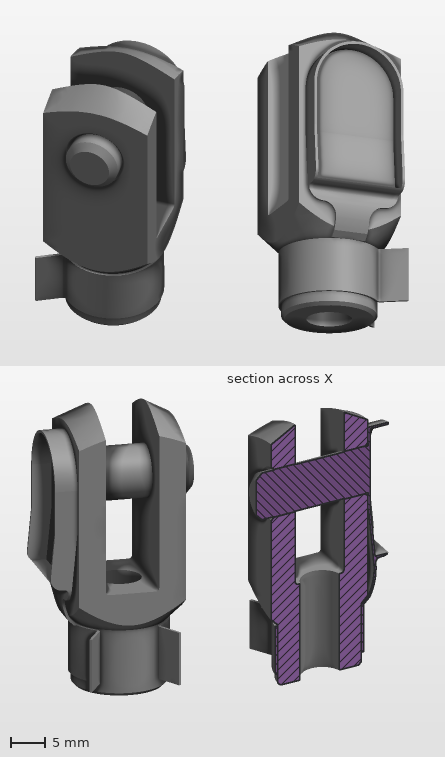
import cadquery as cq
import math

FORK_WIDTH = 16.0
FORK_HALF = FORK_WIDTH / 2
SLOT_WIDTH = 8.0
SLOT_FLOOR_Z = 16.0
SLOT_CORNER_RADIUS = 0.5
CROWN_Z = 42.54
CROWN_SLOPE = 30.0
NECK_RADIUS = 7.0
NECK_CHAMFER = 0.5
SHOULDER_Z = 10.1
THREAD_CORE_DIAMETER = 6.65
PIN_DIAMETER = 8.0
PIN_Z = 32.0
PIN_HOLE_CHAMFER = 0.5

SHEET = 0.4
PIN_TIP_Y = -10.51
PIN_TIP_CHAMFER = 1.0
LEVER_RADIUS = 7.0
LEVER_DEPTH = 3.35
LEVER_BEND_Z = 25.5
LEVER_TILT = 5.5
LEVER_LOW_Z = 16.95
LEVER_CORNER_RADIUS = 1.7
STRIP_ROOT_FILLET = 0.7
STRIP_ARC_TOP_Z = 16.2
STRIP_HALF_WIDTH = 2.6
RING_LOW_Z = 2.0
RING_HIGH_Z = 10.0
RING_OUTER_RADIUS = NECK_RADIUS + SHEET
RING_END_ANGLE = 138.0
TAB_BEND_RADIUS = 0.5
TAB_ANGLE = 30.0
TAB_REACH = 9.78


def turned_envelope():
    """Revolved blank: neck, 45 degree shoulder and conical crown."""
    blank_radius = FORK_WIDTH
    slope = math.tan(math.radians(CROWN_SLOPE))
    apex_z = CROWN_Z + SLOT_WIDTH / 2 * slope
    return (
        cq.Workplane("XZ")
        .moveTo(0, 0)
        .lineTo(NECK_RADIUS - NECK_CHAMFER, 0)
        .lineTo(NECK_RADIUS, NECK_CHAMFER)
        .lineTo(NECK_RADIUS, SHOULDER_Z)
        .lineTo(blank_radius, SHOULDER_Z + blank_radius - NECK_RADIUS)
        .lineTo(blank_radius, apex_z - blank_radius * slope)
        .lineTo(0, apex_z)
        .close()
        .revolve(360, (0, 0, 0), (0, 1, 0))
    )


def fork_slot():
    """Slot between the prongs, open at the top, with rounded floor corners."""
    slot_height = CROWN_Z - SLOT_FLOOR_Z
    return (
        cq.Workplane("XY")
        .box(FORK_WIDTH, SLOT_WIDTH, slot_height, centered=(True, True, False))
        .edges("|X and <Z")
        .fillet(SLOT_CORNER_RADIUS)
        .translate((0, 0, SLOT_FLOOR_Z))
    )


def pin_hole():
    """Cross hole along Y, countersunk on both outer faces."""
    radius = PIN_DIAMETER / 2
    mouth_radius = radius + PIN_HOLE_CHAMFER
    chamfer_start = FORK_HALF - PIN_HOLE_CHAMFER
    return (
        cq.Workplane("XY")
        .moveTo(0, -FORK_HALF)
        .lineTo(mouth_radius, -FORK_HALF)
        .lineTo(radius, -chamfer_start)
        .lineTo(radius, chamfer_start)
        .lineTo(mouth_radius, FORK_HALF)
        .lineTo(0, FORK_HALF)
        .close()
        .revolve(360, (0, 0, 0), (0, 1, 0))
        .translate((0, 0, PIN_Z))
    )


def make_fork():
    bar = cq.Workplane("XY").box(FORK_WIDTH, FORK_WIDTH, CROWN_Z, centered=(True, True, False))
    thread_core = cq.Workplane("XY").circle(THREAD_CORE_DIAMETER / 2).extrude(SLOT_FLOOR_Z)
    return bar.intersect(turned_envelope()).cut(fork_slot()).cut(pin_hole()).cut(thread_core)


TILT_SLOPE = math.tan(math.radians(LEVER_TILT))


def lever_face_y(z):
    """Y of the lever face nearest the fork, at a height below the bend."""
    return FORK_HALF + (LEVER_BEND_Z - z) * TILT_SLOPE


def across(profile):
    """Extrude a YZ profile to both sides, over the whole lever width."""
    return profile.extrude(LEVER_RADIUS, both=True)


def lever_outline(radius, low_z):
    """Round-topped outline in XZ, extruded along +Y through the lever."""
    lever_length = 2 * LEVER_DEPTH
    return (
        cq.Workplane("XZ", origin=(0, FORK_HALF, 0))
        .moveTo(-radius, low_z)
        .lineTo(radius, low_z)
        .lineTo(radius, PIN_Z)
        .threePointArc((0, PIN_Z + radius), (-radius, PIN_Z))
        .close()
        .extrude(-lever_length)
    )


def lever_side(front_shift, depth):
    """Side profile of the lever: upright at the top, tilted below the bend."""
    top_z = PIN_Z + LEVER_RADIUS
    front_y = FORK_HALF + front_shift
    low_front_y = lever_face_y(LEVER_LOW_Z) + front_shift
    return across(
        cq.Workplane("YZ")
        .moveTo(front_y, top_z)
        .lineTo(front_y, LEVER_BEND_Z)
        .lineTo(low_front_y, LEVER_LOW_Z)
        .lineTo(low_front_y + depth, LEVER_LOW_Z)
        .lineTo(front_y + depth, LEVER_BEND_Z)
        .lineTo(front_y + depth, top_z)
        .close()
    )


def make_lever():
    """Shallow tray with its open side away from the fork."""
    solid_side = lever_side(0, LEVER_DEPTH).edges("|X and <Z and >Y").fillet(LEVER_CORNER_RADIUS)
    tray = solid_side.intersect(lever_outline(LEVER_RADIUS, LEVER_LOW_Z))
    pocket = lever_side(SHEET, LEVER_DEPTH).intersect(
        lever_outline(LEVER_RADIUS - SHEET, LEVER_LOW_Z + SHEET)
    )
    return tray.cut(pocket)


def make_pin():
    """Pin through both prongs, joined to the lever at the fork face."""
    return (
        cq.Workplane("XZ", origin=(0, FORK_HALF, PIN_Z))
        .circle(PIN_DIAMETER / 2)
        .extrude(FORK_HALF - PIN_TIP_Y)
        .faces("<Y")
        .chamfer(PIN_TIP_CHAMFER)
    )


def tangent_arc_radius(start, end):
    """Radius of the arc between two YZ points that leaves the first along the lever tilt."""
    step_y = end[0] - start[0]
    step_z = end[1] - start[1]
    tilt = math.radians(LEVER_TILT)
    offset = step_y * math.cos(tilt) + step_z * math.sin(tilt)
    return (step_y ** 2 + step_z ** 2) / (2 * abs(offset))


def strip_side():
    """Side profile of the strip that curves from the lever over the shoulder to the ring."""
    root_y = lever_face_y(LEVER_LOW_Z)
    fillet_low_z = LEVER_LOW_Z - STRIP_ROOT_FILLET
    fillet_low = (lever_face_y(fillet_low_z) + SHEET, fillet_low_z)
    fillet_high = (fillet_low[0] + STRIP_ROOT_FILLET, LEVER_LOW_Z)
    inner_top = (lever_face_y(STRIP_ARC_TOP_Z), STRIP_ARC_TOP_Z)
    outer_top = (inner_top[0] + SHEET, STRIP_ARC_TOP_Z)
    inner_low = (FORK_HALF, SHOULDER_Z + FORK_HALF - NECK_RADIUS)
    sheet_step = SHEET / math.sqrt(2)
    outer_low = (inner_low[0] + sheet_step, inner_low[1] - sheet_step)
    return across(
        cq.Workplane("YZ")
        .moveTo(root_y, LEVER_LOW_Z)
        .lineTo(*inner_top)
        .radiusArc(inner_low, tangent_arc_radius(inner_top, inner_low))
        .lineTo(NECK_RADIUS, SHOULDER_Z)
        .lineTo(NECK_RADIUS, RING_HIGH_Z)
        .lineTo(RING_OUTER_RADIUS, RING_HIGH_Z)
        .lineTo(*outer_low)
        .radiusArc(outer_top, -tangent_arc_radius(outer_top, outer_low))
        .lineTo(*fillet_low)
        .radiusArc(fillet_high, STRIP_ROOT_FILLET)
        .close()
    )


def strip_front():
    """Front outline of the strip: full lever width narrowing through two quarter arcs a side."""
    arc_radius = (LEVER_RADIUS - STRIP_HALF_WIDTH) / 2
    middle_x = LEVER_RADIUS - arc_radius
    middle_z = LEVER_LOW_Z - arc_radius
    arc_low_z = middle_z - arc_radius
    return (
        cq.Workplane("XZ")
        .moveTo(-LEVER_RADIUS, LEVER_LOW_Z)
        .lineTo(LEVER_RADIUS, LEVER_LOW_Z)
        .radiusArc((middle_x, middle_z), arc_radius)
        .radiusArc((STRIP_HALF_WIDTH, arc_low_z), -arc_radius)
        .lineTo(STRIP_HALF_WIDTH, RING_HIGH_Z)
        .lineTo(-STRIP_HALF_WIDTH, RING_HIGH_Z)
        .lineTo(-STRIP_HALF_WIDTH, arc_low_z)
        .radiusArc((-middle_x, middle_z), -arc_radius)
        .radiusArc((-LEVER_RADIUS, LEVER_LOW_Z), arc_radius)
        .close()
        .extrude(-FORK_WIDTH)
    )


def make_strip():
    return strip_side().intersect(strip_front())


def polar(radius, angle, centre=(0, 0)):
    """XY point at a radius and an angle in degrees about a centre."""
    turn = math.radians(angle)
    return (centre[0] + radius * math.cos(turn), centre[1] + radius * math.sin(turn))


def mirrored(point):
    """The same XY point on the other side of the X axis."""
    return (point[0], -point[1])


def make_ring():
    """Open ring around the neck with a bent-out tab at each end."""
    bend_centre = polar(RING_OUTER_RADIUS + TAB_BEND_RADIUS, RING_END_ANGLE)
    bend_outer_radius = TAB_BEND_RADIUS + SHEET
    bend_end_angle = 270 - TAB_ANGLE
    bend_middle_angle = (RING_END_ANGLE + 180 + bend_end_angle) / 2
    tab_direction = 180 - TAB_ANGLE

    outer_end = polar(RING_OUTER_RADIUS, RING_END_ANGLE)
    inner_end = polar(NECK_RADIUS, RING_END_ANGLE)
    concave_middle = polar(TAB_BEND_RADIUS, bend_middle_angle, bend_centre)
    convex_middle = polar(bend_outer_radius, bend_middle_angle, bend_centre)
    concave_root = polar(TAB_BEND_RADIUS, bend_end_angle, bend_centre)
    convex_root = polar(bend_outer_radius, bend_end_angle, bend_centre)
    tab_length = (TAB_REACH + convex_root[0]) / math.cos(math.radians(TAB_ANGLE))
    concave_tip = polar(tab_length, tab_direction, concave_root)
    convex_tip = polar(tab_length, tab_direction, convex_root)
    return (
        cq.Workplane("XY", origin=(0, 0, RING_LOW_Z))
        .moveTo(*mirrored(outer_end))
        .threePointArc((RING_OUTER_RADIUS, 0), outer_end)
        .threePointArc(concave_middle, concave_root)
        .lineTo(*concave_tip)
        .lineTo(*convex_tip)
        .lineTo(*convex_root)
        .threePointArc(convex_middle, inner_end)
        .threePointArc((NECK_RADIUS, 0), mirrored(inner_end))
        .threePointArc(mirrored(convex_middle), mirrored(convex_root))
        .lineTo(*mirrored(convex_tip))
        .lineTo(*mirrored(concave_tip))
        .lineTo(*mirrored(concave_root))
        .threePointArc(mirrored(concave_middle), mirrored(outer_end))
        .close()
        .extrude(RING_HIGH_Z - RING_LOW_Z)
    )


def make_spring_clip():
    return make_lever().union(make_pin()).union(make_strip()).union(make_ring())


fork = make_fork()
spring_clip = make_spring_clip()

result = cq.Compound.makeCompound([fork.solids().val(), spring_clip.solids().val()])